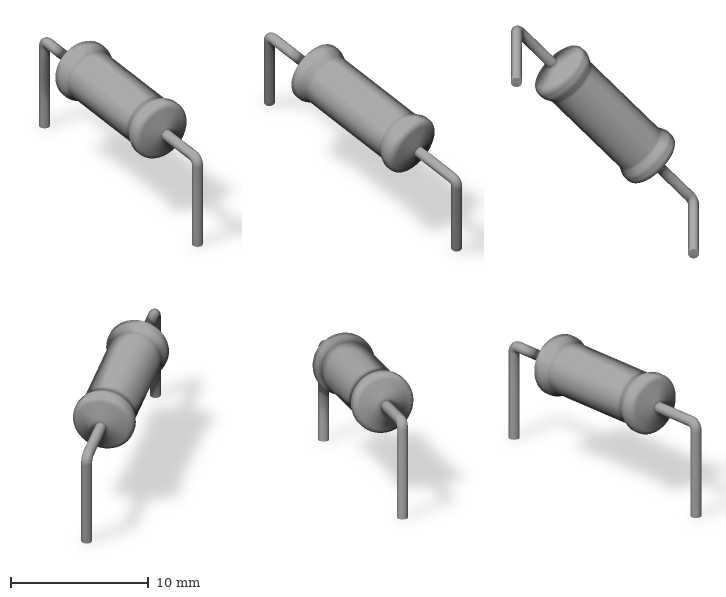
import cadquery as cq
import math


lead_diameter = 0.8
lead_pitch = 19.5
lead_bend_radius = 0.5
lead_drop = 7.3

barrel_radius = 2.0
crest_radius = 2.3
body_length = 11.55
crest_width = 0.3
end_cone_slope = 15.0
shoulder_slope = 25.0
rim_round_radius = 0.5
shoulder_round_radius = 0.6
neck_round_radius = 0.45

lead_radius = lead_diameter / 2
half_pitch = lead_pitch / 2


def arc_point(center, radius, degrees):
    """Point on a circle in the (axial, radial) plane, angle measured from the axis."""
    angle = math.radians(degrees)
    return (center[0] + radius * math.cos(angle), center[1] + radius * math.sin(angle))


def make_body():
    """Revolve the +X half of the body profile and its mirror image about the body axis."""
    cone_tan = math.tan(math.radians(end_cone_slope))
    shoulder_tan = math.tan(math.radians(shoulder_slope))
    shoulder_sin = math.sin(math.radians(shoulder_slope))
    shoulder_cos = math.cos(math.radians(shoulder_slope))

    exit_x = body_length / 2
    rim_center_r = crest_radius - rim_round_radius
    rim_tangent_r = arc_point((0, rim_center_r), rim_round_radius, end_cone_slope)[1]
    rim_tangent_x = exit_x - (rim_tangent_r - lead_radius) * cone_tan
    rim_center_x = rim_tangent_x - rim_round_radius * math.cos(math.radians(end_cone_slope))
    rim_center = (rim_center_x, rim_center_r)

    shoulder_x = rim_center_x - crest_width
    shoulder_center = (shoulder_x, crest_radius - shoulder_round_radius)
    rounds_drop = (shoulder_round_radius + neck_round_radius) * (1 - shoulder_cos)
    rounds_length = (shoulder_round_radius + neck_round_radius) * shoulder_sin
    cone_length = (crest_radius - barrel_radius - rounds_drop) / shoulder_tan
    neck_x = shoulder_x - rounds_length - cone_length
    neck_center = (neck_x, barrel_radius + neck_round_radius)

    outline = (
        cq.Workplane("XZ")
        .moveTo(0, barrel_radius)
        .lineTo(neck_x, barrel_radius)
        .threePointArc(
            arc_point(neck_center, neck_round_radius, -90 + shoulder_slope / 2),
            arc_point(neck_center, neck_round_radius, -90 + shoulder_slope),
        )
        .lineTo(*arc_point(shoulder_center, shoulder_round_radius, 90 + shoulder_slope))
        .threePointArc(
            arc_point(shoulder_center, shoulder_round_radius, 90 + shoulder_slope / 2),
            (shoulder_x, crest_radius),
        )
        .lineTo(rim_center_x, crest_radius)
        .threePointArc(
            arc_point(rim_center, rim_round_radius, (90 + end_cone_slope) / 2),
            (rim_tangent_x, rim_tangent_r),
        )
        .lineTo(exit_x, lead_radius)
        .lineTo(exit_x, 0)
        .mirrorY()
    )
    axis_edge = cq.Edge.makeLine(cq.Vector(-exit_x, 0, 0), cq.Vector(exit_x, 0, 0))
    profile = cq.Wire.assembleEdges(outline.val().Edges() + [axis_edge])
    return cq.Workplane("XZ").add(profile).toPending().revolve(360, (0, 0, 0), (1, 0, 0)).clean()


def make_lead():
    """Sweep the +X lead from the body centre, around the bend and down to its tip."""
    bend_start_x = half_pitch - lead_bend_radius
    bend_center = (bend_start_x, -lead_bend_radius)
    path = (
        cq.Workplane("XZ")
        .moveTo(0, 0)
        .lineTo(bend_start_x, 0)
        .threePointArc(
            arc_point(bend_center, lead_bend_radius, 45),
            (half_pitch, -lead_bend_radius),
        )
        .lineTo(half_pitch, -lead_drop)
    )
    return cq.Workplane("YZ").circle(lead_radius).sweep(path)


lead = make_lead()
result = make_body().union(lead).union(lead.mirror("YZ"))